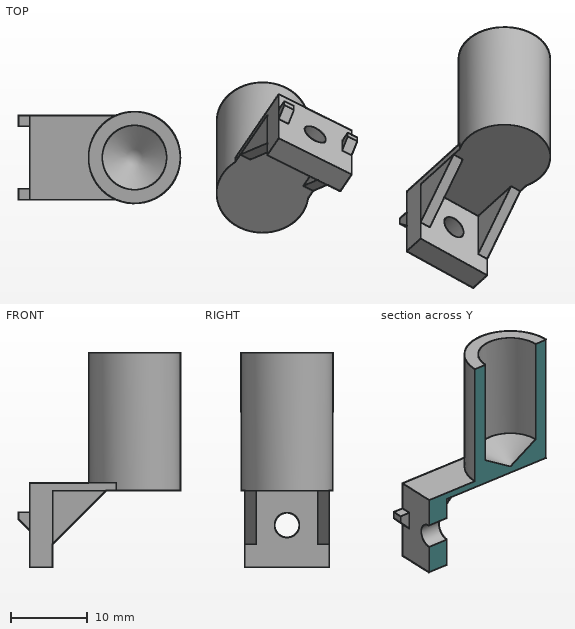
import cadquery as cq
import math

tube_diameter = 12.0
tube_height = 18.0
bore_diameter = 8.4
bore_floor = 1.0
bore_tip_angle = 118.0

overall_height = 28.0
overall_length = 21.15
bracket_width = 11.03
shelf_thickness = 1.0
plate_thickness = 3.0
screw_hole_diameter = 3.2

tooth_size = 1.45
tooth_tip_height = 0.95
tooth_drop = 3.8

gusset_leg = 7.0
gusset_thickness = 1.5

tube_radius = tube_diameter / 2
bore_radius = bore_diameter / 2
half_width = bracket_width / 2
plate_face_x = tube_radius - overall_length + tooth_size
plate_back_x = plate_face_x + plate_thickness
plate_bottom_z = tube_height - overall_height
screw_hole_z = (shelf_thickness + plate_bottom_z) / 2


def prism_along_y(points, start_y, width):
    """Extrude an XZ outline from start_y toward +Y."""
    outline = cq.Workplane("XZ", origin=(0, start_y, 0)).polyline(points).close()
    return outline.extrude(-width)


def make_bore():
    """Round bore from the tube's top, ending in a cone."""
    cone_height = bore_radius / math.tan(math.radians(bore_tip_angle / 2))
    profile = [
        (0, bore_floor),
        (bore_radius, bore_floor + cone_height),
        (bore_radius, tube_height),
        (0, tube_height),
    ]
    return cq.Workplane("XZ").polyline(profile).close().revolve(360, (0, 0), (0, 1))


def make_holder():
    """Bracket and socket tube in one piece, with the bore and the screw hole."""
    l_outline = [
        (plate_face_x, plate_bottom_z),
        (plate_back_x, plate_bottom_z),
        (plate_back_x, 0),
        (0, 0),
        (0, shelf_thickness),
        (plate_face_x, shelf_thickness),
    ]
    bracket = prism_along_y(l_outline, -half_width, bracket_width)
    tube = cq.Workplane("XY").circle(tube_radius).extrude(tube_height)
    screw_hole = (
        cq.Workplane("YZ", origin=(plate_face_x, 0, screw_hole_z))
        .circle(screw_hole_diameter / 2)
        .extrude(plate_thickness)
    )
    return bracket.union(tube).cut(make_bore()).cut(screw_hole)


def make_tooth(start_y):
    """Locating tooth on the mounting face."""
    tip_x = plate_face_x - tooth_size
    top_z = shelf_thickness - tooth_drop
    tip_bottom_z = top_z - tooth_tip_height
    outline = [
        (plate_face_x, top_z),
        (tip_x, top_z),
        (tip_x, tip_bottom_z),
        (plate_face_x, tip_bottom_z - tooth_size),
    ]
    return prism_along_y(outline, start_y, tooth_size)


def make_gusset(start_y):
    """Triangular brace between the plate's back and the shelf's underside."""
    outline = [
        (plate_back_x, 0),
        (plate_back_x + gusset_leg, 0),
        (plate_back_x, -gusset_leg),
    ]
    return prism_along_y(outline, start_y, gusset_thickness)


holder = make_holder()

teeth = [make_tooth(start_y) for start_y in (-half_width, half_width - tooth_size)]
gussets = [make_gusset(start_y) for start_y in (-half_width, half_width - gusset_thickness)]

result = cq.Compound.makeCompound(
    [holder.val()]
    + [tooth.val() for tooth in teeth]
    + [gusset.val() for gusset in gussets]
)